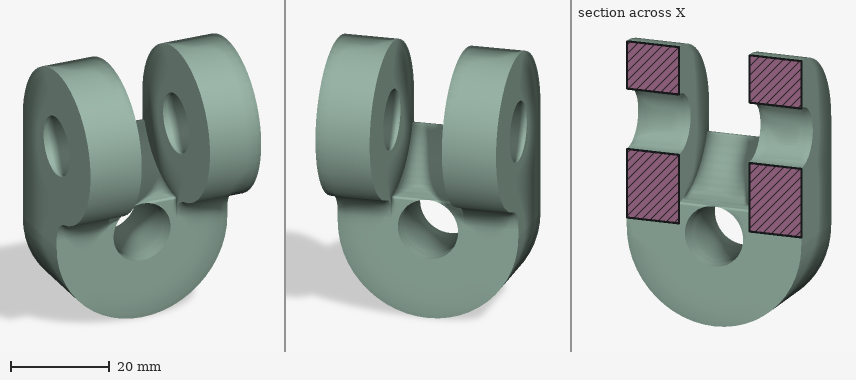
import cadquery as cq
import math


width = 38.1
eye_radius = 16.51
hole_diameter = 12.7
hole_spacing = 22.86
slot_width = 15.24
neck_radius = 5.08
outer_lip_radius = 0.635
inner_lip_radius = 0.508
floor_wall = 0.01

plate_thickness = eye_radius
foot_radius = width / 2
hole_radius = hole_diameter / 2
eye_z = hole_spacing
top_z = eye_z + eye_radius
floor_radius = hole_spacing - hole_radius - floor_wall


def point_on_circle(center, radius, angle):
    """Point at an angle in radians, measured from the horizontal axis."""
    return (
        center[0] + radius * math.cos(angle),
        center[1] + radius * math.sin(angle),
    )


def make_side_body():
    """Eye, plate and the concave neck between them, across the full width."""
    eye_center = (0, eye_z)
    neck_drop = math.sqrt((eye_radius + neck_radius) ** 2 - neck_radius**2)
    neck_center = (neck_radius, eye_z - neck_drop)
    neck_angle = math.atan2(neck_drop, -neck_radius)
    neck_end = point_on_circle(neck_center, neck_radius, neck_angle)
    neck_middle = point_on_circle(neck_center, neck_radius, (neck_angle + math.pi) / 2)
    eye_middle = point_on_circle(eye_center, eye_radius, math.pi / 4)
    return (
        cq.Workplane("XZ")
        .moveTo(-plate_thickness, -foot_radius)
        .lineTo(0, -foot_radius)
        .lineTo(0, neck_center[1])
        .threePointArc(neck_middle, neck_end)
        .threePointArc(eye_middle, (-eye_radius, eye_z))
        .close()
        .extrude(width / 2, both=True)
    )


def make_foot_envelope():
    """Full-width block with a half-round foot, seen along X."""
    return (
        cq.Workplane("YZ")
        .moveTo(-foot_radius, top_z)
        .lineTo(-foot_radius, 0)
        .threePointArc((0, -foot_radius), (foot_radius, 0))
        .lineTo(foot_radius, top_z)
        .close()
        .extrude(eye_radius, both=True)
    )


def make_slot():
    """Gap between the cheeks: floor concentric with the eyes, rounded lip at the outer face."""
    lip_reach = floor_radius + outer_lip_radius
    lip_x = outer_lip_radius - plate_thickness
    lip_center = (lip_x, eye_z - math.sqrt(lip_reach**2 - lip_x**2))
    lip_angle = math.atan2(eye_z - lip_center[1], -lip_x)
    lip_start = (-plate_thickness, lip_center[1])
    lip_middle = point_on_circle(lip_center, outer_lip_radius, (lip_angle + math.pi) / 2)
    lip_end = point_on_circle(lip_center, outer_lip_radius, lip_angle)
    floor_start_angle = math.pi + lip_angle
    floor_end_angle = 3 * math.pi / 2
    floor_middle_angle = (floor_start_angle + floor_end_angle) / 2
    floor_middle = point_on_circle((0, eye_z), floor_radius, floor_middle_angle)
    return (
        cq.Workplane("XZ")
        .moveTo(*lip_start)
        .threePointArc(lip_middle, lip_end)
        .threePointArc(floor_middle, (0, eye_z - floor_radius))
        .lineTo(0, -foot_radius)
        .lineTo(eye_radius, -foot_radius)
        .lineTo(eye_radius, top_z)
        .lineTo(-plate_thickness, top_z)
        .close()
        .extrude(slot_width / 2, both=True)
    )


def make_hole(plane, center_z, half_length):
    """Cylinder normal to the plane, reaching half_length to both sides of the origin."""
    return (
        cq.Workplane(plane, origin=(0, 0, center_z))
        .circle(hole_radius)
        .extrude(half_length, both=True)
    )


def round_inner_lip(body):
    """Round the slot floor's edge at the plate's inner face, just above the plate hole."""
    edge_point = (0, 0, eye_z - floor_radius)
    edge = cq.selectors.NearestToPointSelector(edge_point)
    return body.edges("|Y").edges(edge).fillet(inner_lip_radius)


clevis = make_side_body().intersect(make_foot_envelope())
clevis = clevis.cut(make_slot())
clevis = clevis.cut(make_hole("XZ", eye_z, width / 2))
clevis = clevis.cut(make_hole("YZ", 0, plate_thickness))
result = round_inner_lip(clevis)